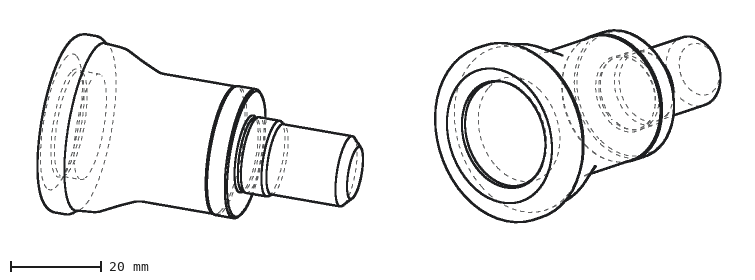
import cadquery as cq

overall_length = 68.0

ring_radius = 40.0 / 2
ring_end = 6.65
ring_seat_radius = 18.8
face_cone_radius = 18.8
face_cone_depth = 0.4
face_flat_outer = 16.25
face_flat_inner = 15.2
front_round_end = 2.1
front_round_bulge = 0.2
band_end = 4.55
rear_cone_start = 5.4
rear_cone_start_radius = 19.6
rear_cone_end = 6.2
rear_cone_end_radius = 19.05

recess_radius = 14.4
recess_lip_depth = 0.4
recess_cone_depth = 1.4
bore_mouth_radius = 12.1
bore_radius = 11.8
disc_depth = 2.2

flare_start = 10.3
flare_start_radius = 18.5
flare_cone_start = 12.3
flare_cone_start_radius = 17.9
flare_cone_end = 18.8
flare_cone_end_radius = 14.9
sleeve_start = 21.35
sleeve_radius = 28.6 / 2
sleeve_end = 37.95

collar_radius = 29.0 / 2
collar_start = 38.35
collar_end = 42.85
collar_chamfer = 0.4

neck_root_radius = 8.65
neck_radius = 8.2
neck_start = 43.45
shoulder_radius = 17.0 / 2
shoulder_start = 44.3
shoulder_end = 49.0
pin_radius = 15.8 / 2
pin_start = 50.0
tip_chamfer = 2.05


def turn(profile):
    """Revolve a closed profile, drawn as (x, radius), about the X axis."""
    return profile.close().revolve(360, (0, 0, 0), (1, 0, 0))


def make_grip_ring():
    """Rounded ring at the front of the knob, with a conical recess."""
    profile = (
        cq.Workplane("XY")
        .moveTo(ring_end, bore_radius)
        .lineTo(disc_depth, bore_radius)
        .lineTo(recess_cone_depth, bore_mouth_radius)
        .lineTo(recess_lip_depth, recess_radius)
        .tangentArcPoint((0, face_flat_inner), relative=False)
        .lineTo(0, face_flat_outer)
        .lineTo(face_cone_depth, face_cone_radius)
    )
    front_round_middle = (
        (face_cone_depth + front_round_end) / 2 - front_round_bulge,
        (face_cone_radius + ring_radius) / 2 + front_round_bulge,
    )
    profile = (
        profile.threePointArc(front_round_middle, (front_round_end, ring_radius))
        .lineTo(band_end, ring_radius)
        .tangentArcPoint((rear_cone_start, rear_cone_start_radius), relative=False)
        .lineTo(rear_cone_end, rear_cone_end_radius)
        .tangentArcPoint((ring_end, ring_seat_radius), relative=False)
    )
    return turn(profile)


def make_core():
    """Flared sleeve, collar and shank, with a front spigot that fills the ring bore."""
    profile = (
        cq.Workplane("XY")
        .moveTo(disc_depth, 0)
        .lineTo(disc_depth, bore_radius)
        .lineTo(ring_end, bore_radius)
        .lineTo(ring_end, ring_seat_radius)
        .lineTo(flare_start, flare_start_radius)
        .tangentArcPoint((flare_cone_start, flare_cone_start_radius), relative=False)
        .lineTo(flare_cone_end, flare_cone_end_radius)
        .tangentArcPoint((sleeve_start, sleeve_radius), relative=False)
        .lineTo(sleeve_end, sleeve_radius)
        .lineTo(collar_start, collar_radius)
        .lineTo(collar_end - collar_chamfer, collar_radius)
        .lineTo(collar_end, collar_radius - collar_chamfer)
        .lineTo(collar_end, neck_root_radius)
        .lineTo(neck_start, neck_radius)
        .lineTo(shoulder_start, shoulder_radius)
        .lineTo(shoulder_end, shoulder_radius)
        .lineTo(pin_start, pin_radius)
        .lineTo(overall_length - tip_chamfer, pin_radius)
        .lineTo(overall_length, pin_radius - tip_chamfer)
        .lineTo(overall_length, 0)
    )
    return turn(profile)


grip_ring = make_grip_ring()
core = make_core()

result = cq.Compound.makeCompound([grip_ring.val(), core.val()])